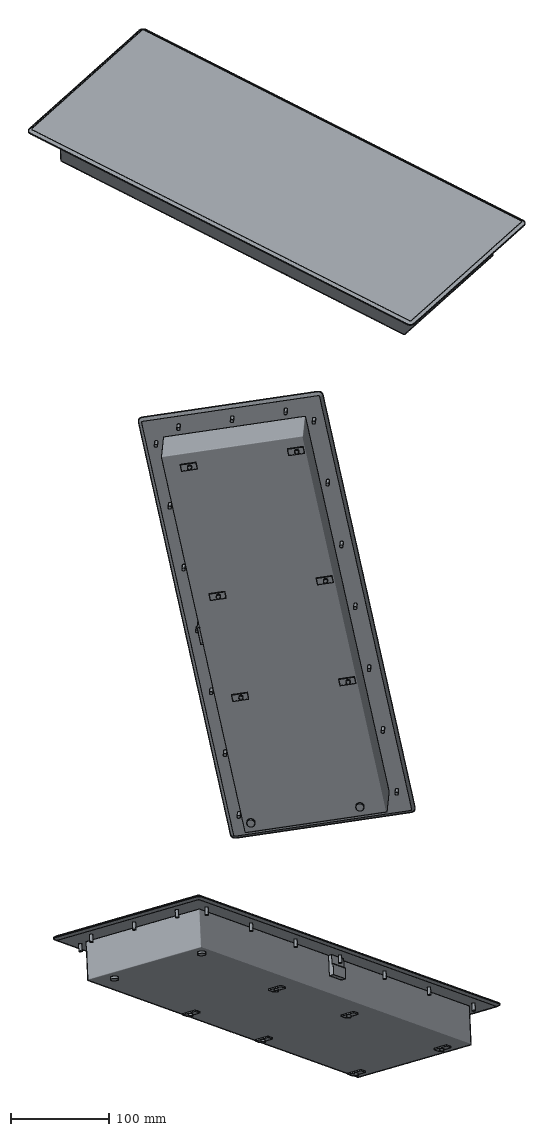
import cadquery as cq

TILT = 3.0

PLATE_LENGTH = 496.5
PLATE_WIDTH = 191.5
PLATE_THICKNESS = 5.0
RIM_BEVEL_WIDTH = 3.5
RIM_BEVEL_HEIGHT = 2.0
CORNER_RADIUS = 5.0

BOX_LENGTH = 444.0
BOX_WIDTH = 147.5
BOX_BOTTOM = -46.5
BOX_CENTER_X = -1.5
BOX_EDGE_RADIUS = 1.0

STUD_DIAMETER = 3.5
STUD_LENGTH = 8.0
LONG_ROW_PITCH = 73.0
LONG_ROW_COUNT = 7
LONG_ROW_SPACING = 164.0
SHORT_ROW_PITCH = 55.5
SHORT_ROW_COUNT = 3
SHORT_ROW_SPACING = 469.0

FOOT_ROW_SPACING = 111.0
FOOT_ROW_FRONT_Y = -63.0
FOOT_ROWS_Y = (FOOT_ROW_FRONT_Y, FOOT_ROW_FRONT_Y + FOOT_ROW_SPACING)
FOOT_COLUMNS_X = (-208.0, -55.5, 63.5)
FOOT_PAD_LENGTH = 7.5
FOOT_PAD_WIDTH = 16.5
FOOT_PAD_HEIGHT = 1.5
KNOB_DIAMETER = 4.5
KNOB_HEIGHT = 3.5
KNOB_OFFSET_Y = -1.0

ROUND_FOOT_X = 209.0
ROUND_FOOT_FRONT_Y = -47.5
ROUND_FOOT_SPACING = 113.0
ROUND_FOOT_DIAMETER = 8.5
ROUND_FOOT_HEIGHT = 2.5

BLOCK_LENGTH = 20.0
BLOCK_UPPER_DEPTH = 4.0
BLOCK_LOWER_DEPTH = 5.5
BLOCK_STEP_Z = -15.0
BLOCK_BOTTOM = -27.0


def cover_plate():
    blank = (
        cq.Workplane("XY")
        .box(PLATE_LENGTH, PLATE_WIDTH, PLATE_THICKNESS)
        .translate((0, 0, -PLATE_THICKNESS / 2))
        .edges("|Z")
        .fillet(CORNER_RADIUS)
    )
    top_bevelled = blank.faces(">Z").chamfer(RIM_BEVEL_HEIGHT, RIM_BEVEL_WIDTH)
    return top_bevelled.faces("<Z").chamfer(RIM_BEVEL_HEIGHT, RIM_BEVEL_WIDTH)


def housing():
    """Box hanging from the plate, its upright and bottom edges rounded."""
    return (
        cq.Workplane("XY", origin=(BOX_CENTER_X, 0, -PLATE_THICKNESS))
        .rect(BOX_LENGTH, BOX_WIDTH)
        .extrude(BOX_BOTTOM + PLATE_THICKNESS)
        .edges("|Z or <Z")
        .fillet(BOX_EDGE_RADIUS)
    )


def stud_grid(pitch_x, pitch_y, count_x, count_y):
    return (
        cq.Workplane("XY", origin=(0, 0, -PLATE_THICKNESS))
        .rarray(pitch_x, pitch_y, count_x, count_y)
        .circle(STUD_DIAMETER / 2)
        .extrude(-STUD_LENGTH)
    )


def studs():
    long_rows = stud_grid(LONG_ROW_PITCH, LONG_ROW_SPACING, LONG_ROW_COUNT, 2)
    short_rows = stud_grid(SHORT_ROW_SPACING, SHORT_ROW_PITCH, 2, SHORT_ROW_COUNT)
    return long_rows.add(short_rows).combine()


def under_housing(points):
    return cq.Workplane("XY", origin=(0, 0, BOX_BOTTOM)).pushPoints(points)


def feet():
    """Pads carrying a small knob each, plus two round feet."""
    pad_points = [(x, y) for x in FOOT_COLUMNS_X for y in FOOT_ROWS_Y]
    knob_points = [(x, y + KNOB_OFFSET_Y) for x, y in pad_points]
    round_points = [(ROUND_FOOT_X, ROUND_FOOT_FRONT_Y + row * ROUND_FOOT_SPACING) for row in range(2)]
    pads = under_housing(pad_points).rect(FOOT_PAD_LENGTH, FOOT_PAD_WIDTH).extrude(-FOOT_PAD_HEIGHT)
    knobs = under_housing(knob_points).circle(KNOB_DIAMETER / 2).extrude(-KNOB_HEIGHT)
    round_feet = under_housing(round_points).circle(ROUND_FOOT_DIAMETER / 2).extrude(-ROUND_FOOT_HEIGHT)
    return pads.union(knobs).union(round_feet)


def back_block():
    """Side profile of the block, extruded along the back wall."""
    wall_y = BOX_WIDTH / 2
    return (
        cq.Workplane("YZ", origin=(BOX_CENTER_X, 0, 0))
        .moveTo(wall_y, -PLATE_THICKNESS)
        .lineTo(wall_y + BLOCK_UPPER_DEPTH, -PLATE_THICKNESS)
        .lineTo(wall_y + BLOCK_UPPER_DEPTH, BLOCK_STEP_Z)
        .lineTo(wall_y + BLOCK_LOWER_DEPTH, BLOCK_STEP_Z)
        .lineTo(wall_y + BLOCK_LOWER_DEPTH, BLOCK_BOTTOM)
        .lineTo(wall_y, BLOCK_BOTTOM)
        .close()
        .extrude(BLOCK_LENGTH / 2, both=True)
    )


panel = cover_plate().union(housing()).union(studs()).union(feet()).union(back_block())
result = panel.rotate((0, 0, 0), (1, 0, 0), TILT)